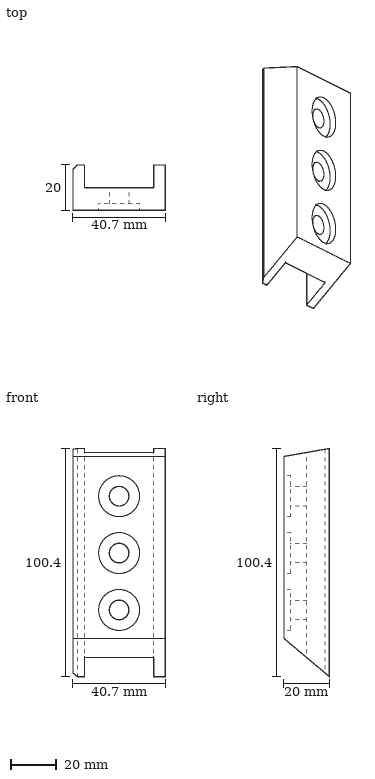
import cadquery as cq
import math

width = 40.7
depth = 20.0
wall_thickness = 5.2
channel_depth = 10.0
corner_chamfer = 2.0

front_height = 80.0
back_height = 100.39
top_slope_angle = 10.0
top_rise = depth * math.tan(math.radians(top_slope_angle))
bottom_drop = back_height - front_height - top_rise

hole_count = 3
hole_pitch = 25.0
lowest_hole_height = 12.5
hole_diameter = 8.5
counterbore_diameter = 18.0
counterbore_depth = 3.0


def make_body():
    """Block with sloped ends: front face on Y = 0, front lower edge on Z = 0."""
    side_profile = [
        (0, 0),
        (0, front_height),
        (depth, front_height + top_rise),
        (depth, -bottom_drop),
    ]
    return cq.Workplane("YZ").polyline(side_profile).close().extrude(width / 2, both=True)


def make_channel():
    """Slot along Z that opens to the back and leaves a wall on each side."""
    return cq.Workplane("XY").box(
        width - 2 * wall_thickness,
        channel_depth,
        back_height,
        centered=(True, False, False),
    ).translate((0, depth - channel_depth, -bottom_drop))


def make_corner_cut():
    """Wedge along the back edge of the -X wall."""
    left = -width / 2
    return (
        cq.Workplane("XY", origin=(0, 0, -bottom_drop))
        .moveTo(left, depth)
        .lineTo(left + corner_chamfer, depth)
        .lineTo(left, depth - corner_chamfer)
        .close()
        .extrude(back_height)
    )


def make_screw_hole(height):
    """Through hole with its counterbore in the front face."""
    front = cq.Workplane("XZ", origin=(0, 0, height))
    hole = front.circle(hole_diameter / 2).extrude(-depth)
    counterbore = front.circle(counterbore_diameter / 2).extrude(-counterbore_depth)
    return hole.union(counterbore)


result = make_body().cut(make_channel()).cut(make_corner_cut())
for index in range(hole_count):
    result = result.cut(make_screw_hole(lowest_hole_height + index * hole_pitch))